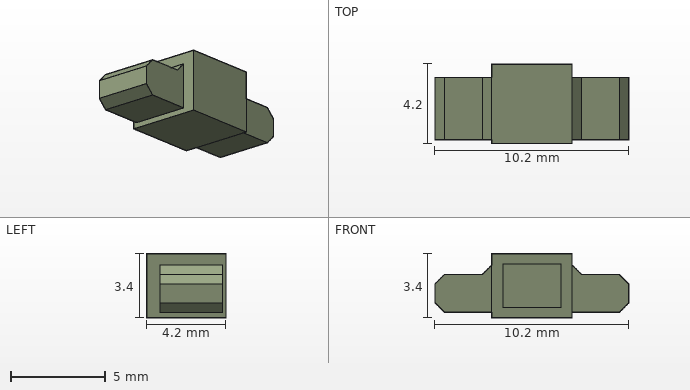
import cadquery as cq

body_length = 4.25
body_depth = 4.2
body_height = 3.4

side_wall = 0.6
top_wall = 0.55
back_wall = 0.7
pocket_length = body_length - 2 * side_wall
pocket_height = body_height - 2 * top_wall
pocket_depth = body_depth - back_wall

overall_length = 10.25
arm_width = 3.3
arm_height = 2.0
arm_front_setback = 0.2
arm_base_z = 0.3
chamfer = 0.5


def make_body():
    return cq.Workplane("XY").box(body_length, body_depth, body_height, centered=(True, False, False))


def make_pocket():
    return (
        cq.Workplane("XY")
        .box(pocket_length, pocket_depth, pocket_height, centered=(True, False, False))
        .translate((0, 0, top_wall))
    )


def make_arm(side):
    """Arm with a chamfered tip and a sloped gusset on top at its root; side is +1 or -1 along X."""
    root = body_length / 2
    tip = overall_length / 2
    bottom = arm_base_z
    top = arm_base_z + arm_height
    outline = [
        (root, bottom),
        (tip - chamfer, bottom),
        (tip, bottom + chamfer),
        (tip, top - chamfer),
        (tip - chamfer, top),
        (root + chamfer, top),
        (root, top + chamfer),
    ]
    return (
        cq.Workplane("XZ", origin=(0, arm_front_setback, 0))
        .polyline([(side * x, z) for x, z in outline])
        .close()
        .extrude(-arm_width)
    )


result = make_body().cut(make_pocket())
for side in (-1, 1):
    result = result.union(make_arm(side))